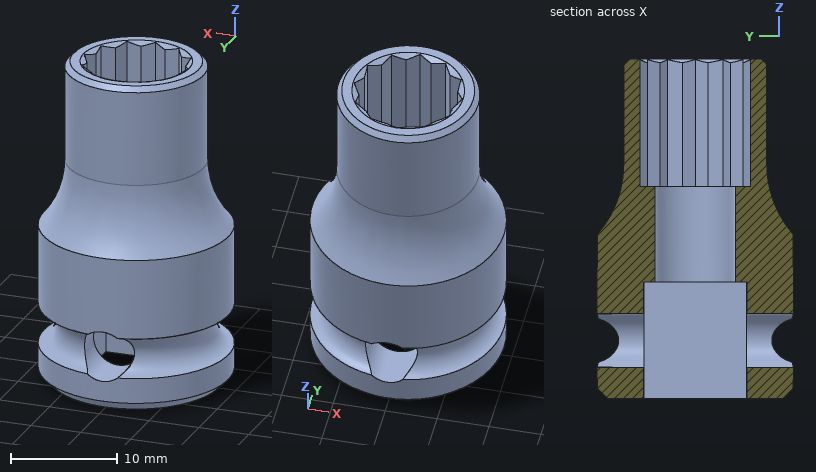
import cadquery as cq
import math

height = 32.0
body_radius = 18.5 / 2
base_chamfer = 1.0

neck_radius = 13.5 / 2
neck_chamfer = 0.5
neck_bottom_z = 22.1
flare_radius = 10.0

groove_z = 5.5
groove_width = 4.0
groove_depth = 1.6
pin_hole_diameter = 5.0

flats_width = 9.0
opening_depth = 12.0
mouth_diameter = 10.6
lead_in_half_angle = 60.0

drive_width = 9.65
drive_depth = 11.0
bore_diameter = 7.5

hexagon_corner_radius = flats_width / math.sqrt(3)


def make_body():
    """Revolve the outer profile: base chamfer, groove, body, flare and neck."""
    groove_low_z = groove_z - groove_width / 2
    groove_high_z = groove_z + groove_width / 2

    flare_centre_r = neck_radius + flare_radius
    flare_angle = math.acos((flare_centre_r - body_radius) / flare_radius)
    flare_bottom_z = neck_bottom_z - flare_radius * math.sin(flare_angle)
    flare_middle = (
        flare_centre_r - flare_radius * math.cos(flare_angle / 2),
        neck_bottom_z - flare_radius * math.sin(flare_angle / 2),
    )

    return (
        cq.Workplane("XZ")
        .moveTo(0, 0)
        .lineTo(body_radius - base_chamfer, 0)
        .lineTo(body_radius, base_chamfer)
        .lineTo(body_radius, groove_low_z)
        .threePointArc((body_radius - groove_depth, groove_z), (body_radius, groove_high_z))
        .lineTo(body_radius, flare_bottom_z)
        .threePointArc(flare_middle, (neck_radius, neck_bottom_z))
        .lineTo(neck_radius, height - neck_chamfer)
        .lineTo(neck_radius - neck_chamfer, height)
        .lineTo(0, height)
        .close()
        .revolve(360, (0, 0, 0), (0, 1, 0))
    )


def make_wrench_opening():
    """Two hexagonal prisms, 30 degrees apart, plus the conical lead-in at the mouth."""
    floor = cq.Workplane("XY").workplane(offset=height - opening_depth)
    hexagon = floor.polygon(6, 2 * hexagon_corner_radius).extrude(opening_depth)
    turned_hexagon = hexagon.rotate((0, 0, 0), (0, 0, 1), 30)

    mouth_radius = mouth_diameter / 2
    lead_in_depth = mouth_radius / math.tan(math.radians(lead_in_half_angle))
    lead_in = (
        cq.Workplane("XZ")
        .moveTo(0, height)
        .lineTo(mouth_radius, height)
        .lineTo(0, height - lead_in_depth)
        .close()
        .revolve(360, (0, 0, 0), (0, 1, 0))
    )
    return hexagon.union(turned_hexagon).union(lead_in)


def make_drive_square():
    """Square recess rising from the base."""
    return cq.Workplane("XY").rect(drive_width, drive_width).extrude(drive_depth)


def make_bore():
    """Round through bore on the axis."""
    return cq.Workplane("XY").circle(bore_diameter / 2).extrude(height)


def make_pin_hole():
    """Cross hole along Y, right through both walls."""
    return (
        cq.Workplane("XZ")
        .center(0, groove_z)
        .circle(pin_hole_diameter / 2)
        .extrude(body_radius, both=True)
    )


result = (
    make_body()
    .cut(make_wrench_opening())
    .cut(make_bore())
    .cut(make_drive_square())
    .cut(make_pin_hole())
)